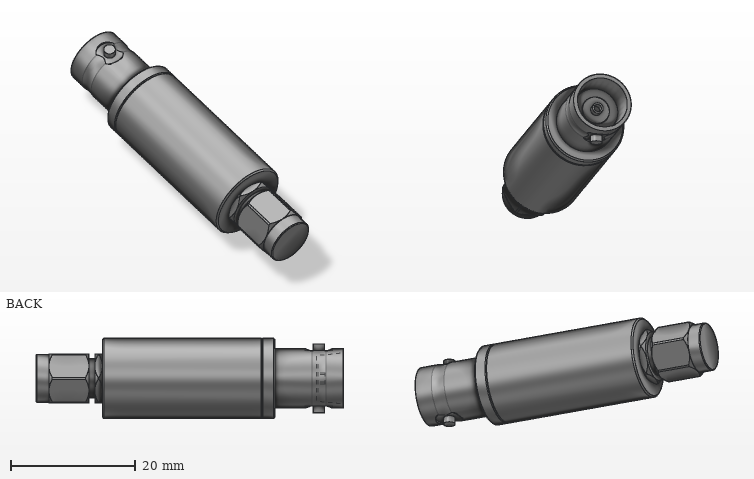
import cadquery as cq
import math


socket_diameter = 9.6
mouth_diameter = 8.25
floor_diameter = 7.4
floor_depth = 4.35

pin_x = 3.95
pin_diameter = 1.9
pin_span = 11.1
spotface_diameter = 4.4
spotface_span = 8.9
groove_width = 2.25
groove_depth = 0.15

insulator_base_diameter = 4.55
insulator_tip_diameter = 4.45
insulator_height = 0.25
contact_diameter = 1.8
contact_tip_depth = 2.95
contact_bore_diameter = 1.2
contact_bore_depth = 1.5

body_diameter = 13.0
body_start = 11.05
body_end = 38.85
body_chamfer = 0.25
seam_x = 13.15
seam_size = 0.15

hex_across_flats = 7.92
lock_nut_end = 40.05
neck_diameter = 6.35
coupling_start = 41.0
coupling_end = 47.45
coupling_corner_diameter = 8.95
lock_corner_diameter = 9.0
sleeve_diameter = 7.8
sleeve_chamfer = 0.15
total_length = 49.55


def turned(profile):
    """Revolve a closed half profile in the XY plane about the connector axis."""
    return profile.revolve(360, (0, 0, 0), (1, 0, 0))


def rod(diameter, start, end):
    """Solid cylinder along X between two stations."""
    return cq.Workplane("YZ").workplane(offset=start).circle(diameter / 2).extrude(end - start)


def hex_nut(corner_diameter, start, end):
    """Hexagon with flats facing up and down, its corners rounded off and bevelled at both ends."""
    corner_to_corner = hex_across_flats / math.cos(math.pi / 6)
    prism = cq.Workplane("YZ").workplane(offset=start).polygon(6, corner_to_corner).extrude(end - start)
    bevel = (corner_diameter - hex_across_flats) / 2
    blank = rod(corner_diameter, start, end).faces("<X or >X").chamfer(bevel)
    return prism.intersect(blank)


def main_body():
    body = rod(body_diameter, body_start, body_end).faces("<X or >X").chamfer(body_chamfer)
    radius = body_diameter / 2
    seam = turned(
        cq.Workplane("XY")
        .moveTo(seam_x - seam_size, radius)
        .lineTo(seam_x, radius - seam_size)
        .lineTo(seam_x + seam_size, radius)
        .close()
    )
    return body.cut(seam)


def socket_shell():
    shell = rod(socket_diameter, 0, body_start)
    radius = socket_diameter / 2
    groove = turned(
        cq.Workplane("XY")
        .moveTo(pin_x - groove_width / 2, radius)
        .threePointArc((pin_x, radius - groove_depth), (pin_x + groove_width / 2, radius))
        .close()
    )
    pin_axis = cq.Workplane("XY").center(pin_x, 0)
    spotface_column = pin_axis.circle(spotface_diameter / 2).extrude(socket_diameter / 2, both=True)
    kept_core = pin_axis.circle(spotface_diameter / 2).extrude(spotface_span / 2, both=True)
    spotfaces = spotface_column.cut(kept_core)
    pins = pin_axis.circle(pin_diameter / 2).extrude(pin_span / 2, both=True)
    bore_profile = [
        (0, 0),
        (0, mouth_diameter / 2),
        (floor_depth, floor_diameter / 2),
        (floor_depth, 0),
    ]
    bore = turned(cq.Workplane("XY").polyline(bore_profile).close())
    return shell.cut(groove).cut(spotfaces).union(pins).cut(bore)


def insulator():
    insulator_tip = floor_depth - insulator_height
    profile = [
        (floor_depth, 0),
        (floor_depth, insulator_base_diameter / 2),
        (insulator_tip, insulator_tip_diameter / 2),
        (insulator_tip, 0),
    ]
    return turned(cq.Workplane("XY").polyline(profile).close())


def centre_contact():
    contact = rod(contact_diameter, contact_tip_depth, floor_depth)
    return contact.cut(rod(contact_bore_diameter, contact_tip_depth, contact_tip_depth + contact_bore_depth))


result = (
    socket_shell()
    .union(insulator())
    .union(centre_contact())
    .union(main_body())
    .union(hex_nut(lock_corner_diameter, body_end, lock_nut_end))
    .union(rod(neck_diameter, lock_nut_end, coupling_start))
    .union(hex_nut(coupling_corner_diameter, coupling_start, coupling_end))
    .union(rod(sleeve_diameter, coupling_end, total_length).faces(">X").chamfer(sleeve_chamfer))
)